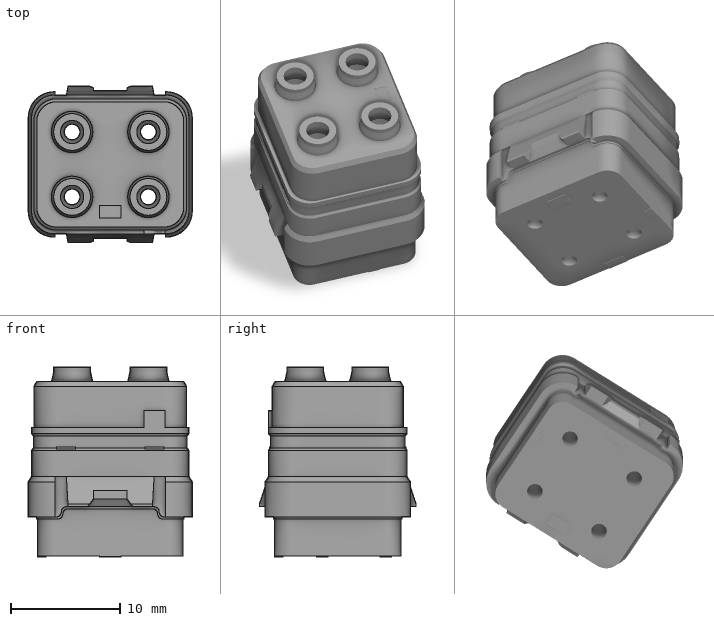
import cadquery as cq


shell_length, shell_width, shell_radius = 14.37, 12.68, 2.1
skirt_offset = 0.31
groove_depth = 0.17
plug_inset = 0.54
plug_radius = 1.53
cap_length, cap_width, cap_radius = 13.98, 12.0, 2.08
plug_length = shell_length - 2 * plug_inset
plug_width = shell_width - 2 * plug_inset

pad_height = 0.07
plug_bottom = pad_height
shell_bottom = 3.65
skirt_top = 7.32
skirt_chamfer_height = 0.49
skirt_ledge = 0.009
groove_bottom, groove_top = 9.73, 11.25
groove_slope = 0.2
shell_top = 11.83
cap_top = 16.02
total_height = 17.34

cap_chamfer_height, cap_chamfer_inset = 0.47, 0.28

boss_pitch_x, boss_pitch_y = 6.97, 5.93
boss_rim_height = 0.45
boss_base_radius, boss_rim_radius = 1.89, 1.68
bore_entry_radius, bore_radius = 1.05, 0.71
bore_entry_depth = 0.7
undercut_radius, undercut_height = 1.21, 1.04
seal_lip_height = 0.26

window_half_width = 5.03
window_recess = 0.25
arch_foot_half_width = 4.95
arch_bend_radius = 0.47
arch_rise = 2 * arch_bend_radius
arch_top = shell_bottom + arch_rise
collar_height, collar_offset, collar_arch_inset = 0.19, 0.07, 0.14

latch_span_y = 14.3
latch_top_half_width, latch_bottom_half_width = 4.0, 3.85
latch_lip_top = 4.82
notch_half_width, notch_flared_half_width = 1.53, 2.06
notch_floor_y, notch_flare_floor_y = 6.75, 6.1
notch_top, notch_flare_top = 6.09, 5.29

key_left, key_right = 3.07, 5.01
key_top = 13.35

rib_centre_x, rib_length, rib_height, rib_depth = 4.02, 1.73, 0.09, 0.09

label_length, label_width, label_depth = 1.98, 1.16, 0.03
label_y = -4.34
pad_length, pad_width = 1.98, 1.04
end_pad_width = 0.81
rear_pad_y, side_pad_y = 4.39, -1.42
side_pad_length = 0.8


def tier(length, width, radius, bottom, top):
    """Upright rounded rectangular prism."""
    prism = cq.Workplane("XY").box(length, width, top - bottom, centered=(True, True, False))
    return prism.edges("|Z").fillet(radius).translate((0, 0, bottom))


def shell_tier(offset, bottom, top):
    """Prism whose outline lies a constant distance outside the shell outline."""
    return tier(shell_length + 2 * offset, shell_width + 2 * offset, shell_radius + offset, bottom, top)


def block(x_range, y_range, z_range):
    """Box given by its limits along each axis."""
    sizes = [high - low for low, high in (x_range, y_range, z_range)]
    corner = (x_range[0], y_range[0], z_range[0])
    return cq.Workplane("XY").box(*sizes, centered=False).translate(corner)


def on_both_sides(feature):
    """Feature on the -Y side together with its mirror image on the +Y side."""
    return feature.union(feature.mirror("XZ"))


def arch_outline(drop, inset):
    """Closed XZ outline of the space under the arched shell edge, lowered by drop and narrowed by inset."""
    bottom = shell_bottom - arch_rise
    foot_half_width = arch_foot_half_width - inset
    foot = shell_bottom - drop
    bend_mid_half_width = foot_half_width - arch_bend_radius
    top_half_width = foot_half_width - 2 * arch_bend_radius
    bend_mid_z = foot + arch_bend_radius
    top = foot + arch_rise
    return (
        cq.Workplane("XZ")
        .moveTo(-foot_half_width, bottom)
        .lineTo(-foot_half_width, foot)
        .radiusArc((-bend_mid_half_width, bend_mid_z), -arch_bend_radius)
        .radiusArc((-top_half_width, top), arch_bend_radius)
        .lineTo(top_half_width, top)
        .radiusArc((bend_mid_half_width, bend_mid_z), arch_bend_radius)
        .radiusArc((foot_half_width, foot), -arch_bend_radius)
        .lineTo(foot_half_width, bottom)
        .close()
    )


def make_cap():
    cap = tier(cap_length, cap_width, cap_radius, shell_top, cap_top)
    return cap.faces(">Z").chamfer(cap_chamfer_height, cap_chamfer_inset)


def make_groove():
    """Seal groove ring with sloped walls."""
    ring = shell_tier(skirt_offset, groove_bottom, groove_top)
    core_floor = shell_tier(-groove_depth, groove_bottom, groove_top)
    lower_flare = shell_tier(0, groove_bottom - groove_slope, groove_bottom + groove_slope)
    lower_flare = lower_flare.faces(">Z").chamfer(groove_slope, groove_depth)
    upper_flare = shell_tier(0, groove_top - groove_slope, groove_top + groove_slope)
    upper_flare = upper_flare.faces("<Z").chamfer(groove_slope, groove_depth)
    return ring.cut(core_floor).cut(lower_flare).cut(upper_flare)


def make_shell():
    """Shell and skirt with the groove, the skirt windows and the arched lower edges."""
    skirt = shell_tier(skirt_offset, shell_bottom, skirt_top)
    skirt = skirt.faces(">Z").chamfer(skirt_chamfer_height, skirt_offset - skirt_ledge)
    shell_face = -shell_width / 2
    window = block(
        (-window_half_width, window_half_width),
        (shell_face - 2 * skirt_offset, shell_face + window_recess),
        (shell_bottom, skirt_top),
    )
    arch = arch_outline(0, 0).extrude(latch_span_y / 2)
    plug_core = tier(plug_length, plug_width, plug_radius, shell_bottom, arch_top)
    shell = shell_tier(0, shell_bottom, shell_top).cut(make_groove())
    shell = shell.union(skirt).cut(on_both_sides(window)).cut(on_both_sides(arch))
    return shell.union(plug_core)


def make_plug():
    """Lower plug with the narrow collar that follows the lower edge of the shell."""
    plug = tier(plug_length, plug_width, plug_radius, plug_bottom, shell_bottom)
    collar = tier(
        plug_length + 2 * collar_offset,
        plug_width + 2 * collar_offset,
        plug_radius + collar_offset,
        shell_bottom - collar_height,
        arch_top,
    )
    opening = arch_outline(collar_height, collar_arch_inset).extrude(latch_span_y / 2)
    return plug.union(collar.cut(on_both_sides(opening)))


def make_latch():
    """Tapered ramp on the -Y side with a notch whose lower end flares out and slopes inwards."""
    shell_face = -shell_width / 2
    tip = -latch_span_y / 2
    plug_face = -plug_width / 2
    side = (
        cq.Workplane("YZ")
        .polyline([(plug_face, skirt_top), (shell_face, skirt_top), (tip, latch_lip_top),
                   (tip, arch_top), (plug_face, arch_top)])
        .close()
        .extrude(window_half_width, both=True)
    )
    front = (
        cq.Workplane("XZ")
        .polyline([(-latch_top_half_width, skirt_top), (latch_top_half_width, skirt_top),
                   (latch_bottom_half_width, arch_top), (-latch_bottom_half_width, arch_top)])
        .close()
        .extrude(latch_span_y)
    )
    notch_front = (
        cq.Workplane("XZ")
        .polyline([(-notch_half_width, notch_top), (notch_half_width, notch_top),
                   (notch_half_width, notch_flare_top), (notch_flared_half_width, arch_top),
                   (-notch_flared_half_width, arch_top), (-notch_half_width, notch_flare_top)])
        .close()
        .extrude(latch_span_y)
    )
    notch_side = (
        cq.Workplane("YZ")
        .polyline([(-latch_span_y, notch_top), (-notch_floor_y, notch_top),
                   (-notch_floor_y, notch_flare_top), (-notch_flare_floor_y, arch_top),
                   (-latch_span_y, arch_top)])
        .close()
        .extrude(window_half_width, both=True)
    )
    return side.intersect(front).cut(notch_front.intersect(notch_side))


def make_boss():
    """Conical boss with a short cylindrical rim, centred on the Z axis."""
    rim_bottom = total_height - boss_rim_height
    return (
        cq.Workplane("XZ")
        .polyline([(0, cap_top), (boss_base_radius, cap_top), (boss_rim_radius, rim_bottom),
                   (boss_rim_radius, total_height), (0, total_height)])
        .close()
        .revolve(360, (0, 0), (0, 1))
    )


def make_bore():
    """Through bore with a wider entry, a flared undercut and a conical seal lip."""
    undercut_top = total_height - bore_entry_depth
    undercut_bottom = undercut_top - undercut_height
    lip_bottom = undercut_bottom - seal_lip_height
    return (
        cq.Workplane("XZ")
        .polyline([(0, 0), (bore_radius, 0), (bore_radius, lip_bottom),
                   (undercut_radius, undercut_bottom), (bore_entry_radius, undercut_top),
                   (bore_entry_radius, total_height), (0, total_height)])
        .close()
        .revolve(360, (0, 0), (0, 1))
    )


def make_groove_ribs():
    """Pair of small ribs low in the groove on the -Y side."""
    floor_y = -shell_width / 2 + groove_depth
    ribs = cq.Workplane("XY")
    for centre_x in (-rib_centre_x, rib_centre_x):
        ribs = ribs.union(block(
            (centre_x - rib_length / 2, centre_x + rib_length / 2),
            (floor_y - rib_depth, floor_y + groove_depth),
            (groove_bottom, groove_bottom + groove_slope + rib_height),
        ))
    return ribs


def make_pads():
    """Three low pads under the plug."""
    across = (-pad_length / 2, pad_length / 2)
    height = (0, plug_bottom)
    front_pad = block(across, (-plug_width / 2, -plug_width / 2 + end_pad_width), height)
    rear_pad = block(across, (rear_pad_y - pad_width / 2, rear_pad_y + pad_width / 2), height)
    side_pad = block(
        (-plug_length / 2, -plug_length / 2 + side_pad_length),
        (side_pad_y - pad_width / 2, side_pad_y + pad_width / 2),
        height,
    )
    return front_pad.union(rear_pad).union(side_pad)


key = block((key_left, key_right), (-shell_width / 2, 0), (shell_top, key_top))
label = block(
    (-label_length / 2, label_length / 2),
    (label_y - label_width / 2, label_y + label_width / 2),
    (cap_top - label_depth, cap_top),
)

result = make_plug().union(make_shell()).union(make_cap())
result = result.union(on_both_sides(make_latch())).union(on_both_sides(make_groove_ribs()))
result = result.union(key).union(make_pads()).cut(label)

for boss_x in (-boss_pitch_x / 2, boss_pitch_x / 2):
    for boss_y in (-boss_pitch_y / 2, boss_pitch_y / 2):
        place = (boss_x, boss_y, 0)
        result = result.union(make_boss().translate(place)).cut(make_bore().translate(place))